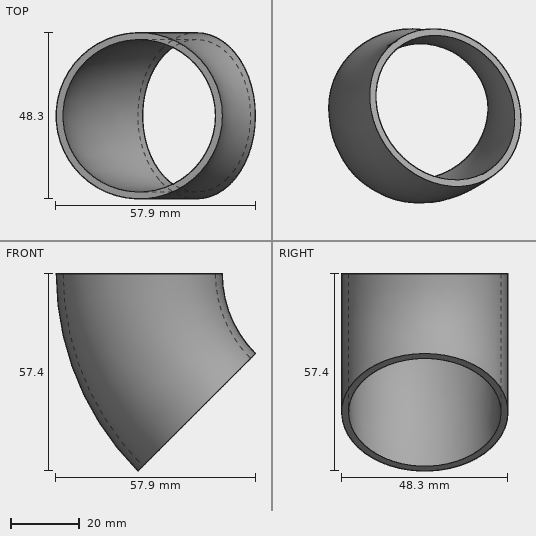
import cadquery as cq

outer_diameter = 48.3
wall_thickness = 2.0
bend_radius = 57.0
bend_angle = 45

inner_diameter = outer_diameter - 2 * wall_thickness

result = (
    cq.Workplane("XY")
    .circle(outer_diameter / 2)
    .circle(inner_diameter / 2)
    .revolve(bend_angle, (bend_radius, 0), (bend_radius, -1))
)